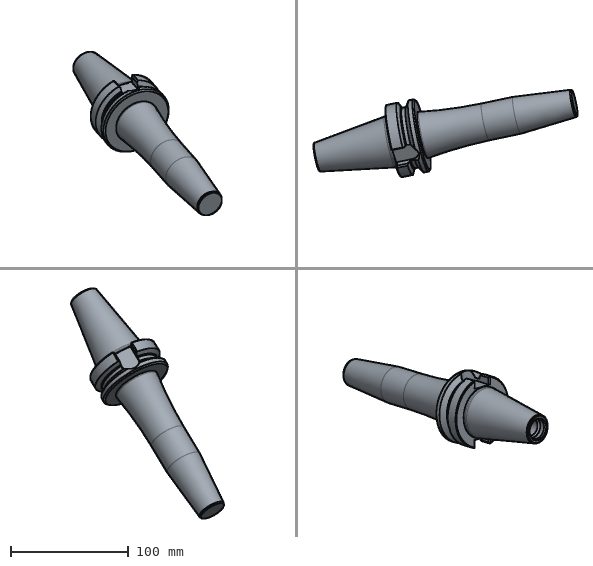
import cadquery as cq
import math

total_length = 225.5
taper_end = 64.2
flange_start = 67.5
flange_end = 92.6
neck_start = 93.8
neck_end = 147.5
tip_taper_start = 175.0

small_end_radius = 12.6
taper_radius = 22.2
flange_radius = 31.45
neck_radius = 20.0
shank_radius = 16.12
tip_radius = 12.0

collar_start = 65.5
collar_radius = 22.5

groove_radius = 26.4
groove_flank_radius = 27.0
groove_lip_start = 77.3
groove_flank_end = 79.5
groove_floor_start = 80.5
groove_floor_end = 83.8
groove_lip_end = 87.5

end_chamfer = 1.0
flange_front_chamfer = 0.7
flange_back_chamfer = 1.4
tip_chamfer = 1.4
tip_chamfer_depth = 0.7

slot_width = 15.8
slot_end = 89.7
slot_floor = 22.8
slot_chamfer = 1.4

bore_mouth_radius = 9.7
bore_mouth_depth = 1.4
pilot_radius = 8.5
pilot_depth = 5.9
core_radius = 7.0
core_start = 7.7
core_end = 31.5
drill_point_half_angle = 59.0


def make_body():
    """Revolve the solid outline around the X axis."""
    neck_length = neck_end - neck_start
    neck_rise = neck_radius - shank_radius
    arc_radius = (neck_length**2 + neck_rise**2) / (2 * neck_rise)
    half_angle = math.asin(neck_length / arc_radius) / 2
    neck_middle = (
        neck_end - arc_radius * math.sin(half_angle),
        shank_radius + arc_radius * (1 - math.cos(half_angle)),
    )
    outline = (
        cq.Workplane("XY")
        .lineTo(0, small_end_radius - end_chamfer)
        .lineTo(end_chamfer, small_end_radius)
        .lineTo(taper_end, taper_radius)
        .lineTo(collar_start, collar_radius)
        .lineTo(flange_start, collar_radius)
        .lineTo(flange_start, flange_radius - flange_front_chamfer)
        .lineTo(flange_start + flange_front_chamfer, flange_radius)
        .lineTo(groove_lip_start, flange_radius)
        .lineTo(groove_flank_end, groove_flank_radius)
        .lineTo(groove_floor_start, groove_radius)
        .lineTo(groove_floor_end, groove_radius)
        .lineTo(groove_lip_end, flange_radius)
        .lineTo(flange_end - flange_back_chamfer, flange_radius)
        .lineTo(flange_end, flange_radius - flange_back_chamfer)
        .lineTo(flange_end, neck_radius)
        .lineTo(neck_start, neck_radius)
        .threePointArc(neck_middle, (neck_end, shank_radius))
        .lineTo(tip_taper_start, shank_radius)
        .lineTo(total_length - tip_chamfer, tip_radius)
        .lineTo(total_length, tip_radius - tip_chamfer_depth)
        .lineTo(total_length, 0)
        .close()
    )
    return outline.revolve(360, (0, 0, 0), (1, 0, 0))


def make_bore():
    """Cutter for the drawbar bore at the small end of the taper."""
    point_depth = core_radius / math.tan(math.radians(drill_point_half_angle))
    profile = (
        cq.Workplane("XY")
        .lineTo(0, bore_mouth_radius)
        .lineTo(bore_mouth_depth, pilot_radius)
        .lineTo(pilot_depth, pilot_radius)
        .lineTo(core_start, core_radius)
        .lineTo(core_end, core_radius)
        .lineTo(core_end + point_depth, 0)
        .close()
    )
    return profile.revolve(360, (0, 0, 0), (1, 0, 0))


def make_slot():
    """Cutter for the upper drive slot: round inner end and chamfered entry edges."""
    half_width = slot_width / 2
    arc_start = slot_end - half_width
    slot_height = flange_radius - slot_floor
    slot = (
        cq.Workplane("XY", origin=(0, 0, slot_floor))
        .moveTo(flange_start, -half_width)
        .lineTo(arc_start, -half_width)
        .threePointArc((slot_end, 0), (arc_start, half_width))
        .lineTo(flange_start, half_width)
        .close()
        .extrude(slot_height)
    )
    wide_half = half_width + slot_chamfer
    front_edges = (
        cq.Workplane("XY", origin=(0, 0, slot_floor))
        .moveTo(flange_start, -wide_half)
        .lineTo(flange_start + slot_chamfer, -half_width)
        .lineTo(flange_start + slot_chamfer, half_width)
        .lineTo(flange_start, wide_half)
        .close()
        .extrude(slot_height)
    )
    rim_height = math.sqrt(flange_radius**2 - wide_half**2)
    chamfer_bottom = rim_height - slot_chamfer
    top_edges = (
        cq.Workplane("YZ", origin=(flange_start, 0, 0))
        .moveTo(-half_width, chamfer_bottom)
        .lineTo(half_width, chamfer_bottom)
        .lineTo(wide_half, rim_height)
        .lineTo(wide_half, flange_radius)
        .lineTo(-wide_half, flange_radius)
        .lineTo(-wide_half, rim_height)
        .close()
        .extrude(groove_floor_start - flange_start)
    )
    return slot.union(front_edges).union(top_edges)


slot = make_slot()
opposite_slot = slot.rotate((0, 0, 0), (1, 0, 0), 180)
result = make_body().cut(make_bore()).cut(slot).cut(opposite_slot)